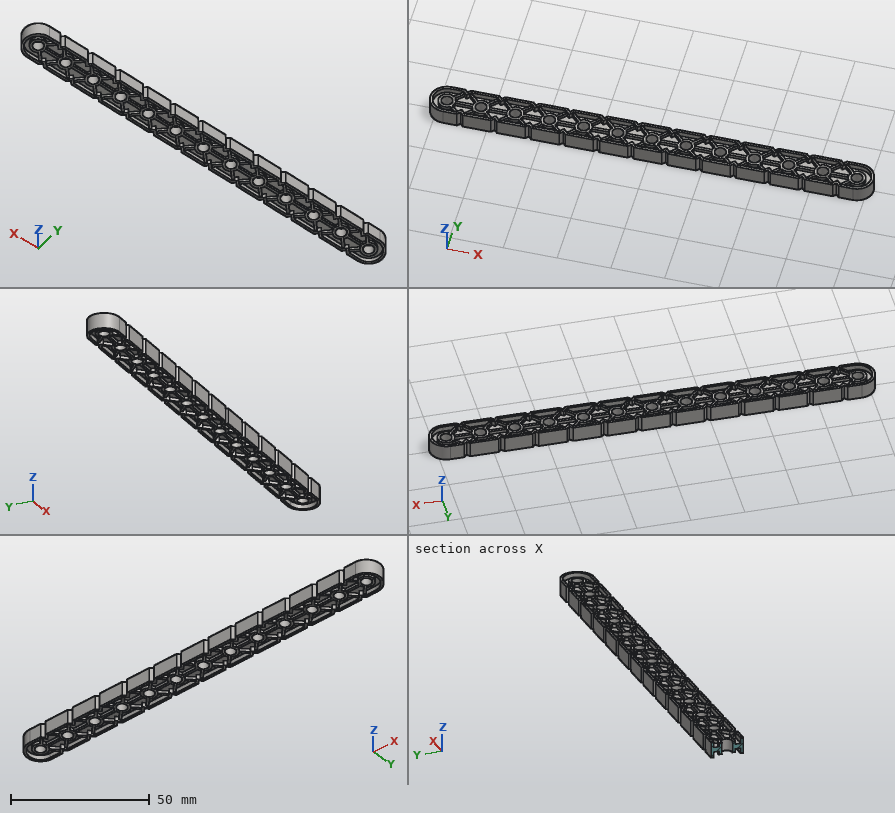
import cadquery as cq
import math

PITCH = 12.7
HOLE_COUNT = 13
WIDTH = 12.4
HEIGHT = 6.096
SPAN = PITCH * (HOLE_COUNT - 1)

NOTCH_WIDTH = 2.26
NOTCH_DEPTH = NOTCH_WIDTH / 2

WALL = 1.0
FLOOR_THICKNESS = HEIGHT / 3
WEB_DROP = 0.762
HOLE_DIAMETER = 4.2
BOSS_DIAMETER = PITCH / 2
RIB_THICKNESS = 1.0

FLOOR_Z = FLOOR_THICKNESS / 2
RECESS_DEPTH = HEIGHT / 2 - FLOOR_Z
WEB_HEIGHT = RECESS_DEPTH - WEB_DROP
HOLE_POINTS = [(i * PITCH - SPAN / 2, 0) for i in range(HOLE_COUNT)]
NOTCH_POSITIONS = [x + PITCH / 2 for x, _ in HOLE_POINTS[:-1]]


def plane_at(z):
    """Horizontal workplane at height z."""
    return cq.Workplane("XY").workplane(offset=z)


def notched_bar(width, notch_depth, bottom_z, height):
    """Round-ended bar with 90 degree V-notches in both long sides."""
    bar = plane_at(bottom_z).slot2D(SPAN + width, width).extrude(height)
    notch_centers = [(x, side * width / 2) for x in NOTCH_POSITIONS for side in (-1, 1)]
    notches = plane_at(bottom_z).pushPoints(notch_centers).polygon(4, 2 * notch_depth).extrude(height)
    return bar.cut(notches)


def recess():
    """Hollow above the floor that leaves a wall of even thickness, also around the notches."""
    inner_notch_depth = NOTCH_DEPTH + WALL * (math.sqrt(2) - 1)
    return notched_bar(WIDTH - 2 * WALL, inner_notch_depth, FLOOR_Z, RECESS_DEPTH)


def bosses():
    """Round boss around each hole."""
    return plane_at(FLOOR_Z).pushPoints(HOLE_POINTS).circle(BOSS_DIAMETER / 2).extrude(WEB_HEIGHT)


def diagonal_ribs():
    """Ribs at 45 degrees from each boss to the walls, on the sides facing a neighbouring hole."""
    arm_length = WIDTH / 2 * math.sqrt(2)
    arm = cq.Workplane("XY").box(arm_length, RIB_THICKNESS, WEB_HEIGHT, centered=(False, True, False))
    ribs = cq.Workplane("XY")
    for index, (x, y) in enumerate(HOLE_POINTS):
        angles = []
        if index < HOLE_COUNT - 1:
            angles += [45, -45]
        if index > 0:
            angles += [135, -135]
        for angle in angles:
            ribs = ribs.add(arm.rotate((0, 0, 0), (0, 0, 1), angle).translate((x, y, FLOOR_Z)))
    return ribs.combine()


def center_rib():
    """Lengthwise rib joining the bosses."""
    return plane_at(FLOOR_Z).rect(SPAN, RIB_THICKNESS).extrude(WEB_HEIGHT)


def holes():
    """Through holes along the beam."""
    return plane_at(-HEIGHT / 2).pushPoints(HOLE_POINTS).circle(HOLE_DIAMETER / 2).extrude(HEIGHT)


body = notched_bar(WIDTH, NOTCH_DEPTH, -HEIGHT / 2, HEIGHT)
webbing = bosses().union(diagonal_ribs()).union(center_rib())
upper_hollow = recess().cut(webbing)
lower_hollow = upper_hollow.mirror("XY")
result = body.cut(upper_hollow).cut(lower_hollow).cut(holes())